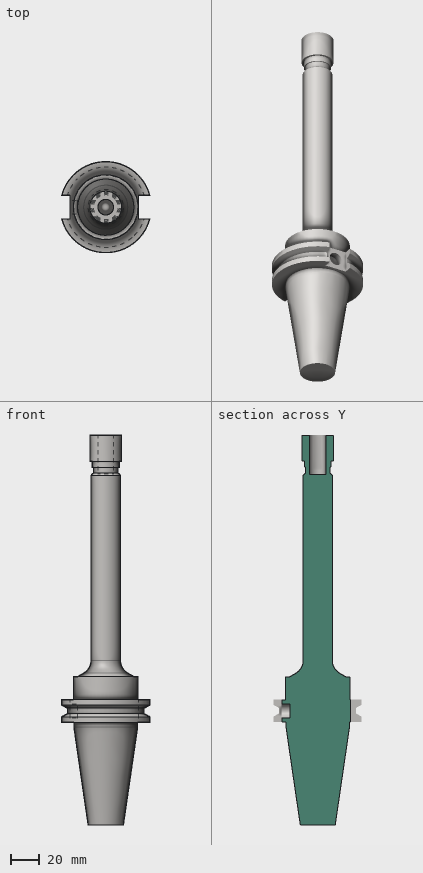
import cadquery as cq
import math

total_height = 271.5
gauge_z = 68.5
flange_bottom_z = 71.7
flange_top_z = 87.5
head_top_z = 103.5
shaft_top_z = 243.5
neck_bottom_z = 245.0
neck_top_z = 249.0
collar_bottom_z = 253.3

gauge_radius = 22.3
head_radius = 22.5
flange_radius = 31.8
shaft_radius = 10.3
neck_radius = 8.7
step_radius = 9.5
collar_radius = 11.0

taper_ratio = 7 / 24
taper_end_radius = gauge_radius - gauge_z * taper_ratio / 2

groove_floor_radius = 28.0
groove_floor_width = 3.8
flank_angle = math.radians(30)

fillet_radius = 10.0
cone_angle = math.radians(30)
cone_height = 2.5

slot_width = 16.3
slot_floor_left = 25.0
slot_floor_right = 22.8

bore_diameter = 10.9
bore_depth = 27.1
slot_hole_diameter = 9.5
slot_hole_depth = 5.5

flange_mid_z = (flange_bottom_z + flange_top_z) / 2
flange_height = flange_top_z - flange_bottom_z


def turned_body():
    """Revolve the taper, flange, head, shaft and collar as one profile."""
    half_floor = groove_floor_width / 2
    half_mouth = half_floor + (flange_radius - groove_floor_radius) * math.tan(flank_angle)

    cone_top_z = head_top_z + cone_height
    fillet_center_r = shaft_radius + fillet_radius
    fillet_top_z = cone_top_z + fillet_radius * math.cos(cone_angle)
    fillet_end_r = fillet_center_r - fillet_radius * math.sin(cone_angle)
    cone_base_r = fillet_end_r + cone_height / math.tan(cone_angle)
    middle_angle = (math.pi / 2 - cone_angle) / 2
    fillet_middle = (
        fillet_center_r - fillet_radius * math.cos(middle_angle),
        fillet_top_z - fillet_radius * math.sin(middle_angle),
    )

    profile = (
        cq.Workplane("XZ")
        .lineTo(taper_end_radius, 0)
        .lineTo(gauge_radius, gauge_z)
        .lineTo(gauge_radius, flange_bottom_z)
        .lineTo(flange_radius, flange_bottom_z)
        .lineTo(flange_radius, flange_mid_z - half_mouth)
        .lineTo(groove_floor_radius, flange_mid_z - half_floor)
        .lineTo(groove_floor_radius, flange_mid_z + half_floor)
        .lineTo(flange_radius, flange_mid_z + half_mouth)
        .lineTo(flange_radius, flange_top_z)
        .lineTo(head_radius, flange_top_z)
        .lineTo(head_radius, head_top_z)
        .lineTo(cone_base_r, head_top_z)
        .lineTo(fillet_end_r, cone_top_z)
        .threePointArc(fillet_middle, (shaft_radius, fillet_top_z))
        .lineTo(shaft_radius, shaft_top_z)
        .lineTo(neck_radius, neck_bottom_z)
        .lineTo(neck_radius, neck_top_z)
        .lineTo(step_radius, neck_top_z)
        .lineTo(step_radius, collar_bottom_z)
        .lineTo(collar_radius, collar_bottom_z)
        .lineTo(collar_radius, total_height)
        .lineTo(0, total_height)
        .close()
    )
    return profile.revolve(360, (0, 0), (0, 1))


def drive_slot(side, floor_distance):
    """Cutter for a slot through the flange height; side is -1 for -X, +1 for +X."""
    return (
        cq.Workplane("XY")
        .box(flange_radius, slot_width, flange_height)
        .translate((side * (floor_distance + flange_radius / 2), 0, flange_mid_z))
    )


def slot_hole():
    """Cutter for the blind radial hole in the floor of the -X slot."""
    return (
        cq.Workplane("YZ", origin=(-slot_floor_left, 0, flange_mid_z))
        .circle(slot_hole_diameter / 2)
        .extrude(slot_hole_depth)
    )


def end_bore():
    """Cutter for the blind bore in the collar end."""
    return (
        cq.Workplane("XY", origin=(0, 0, total_height))
        .circle(bore_diameter / 2)
        .extrude(-bore_depth)
    )


result = (
    turned_body()
    .cut(drive_slot(-1, slot_floor_left))
    .cut(drive_slot(1, slot_floor_right))
    .cut(slot_hole())
    .cut(end_bore())
)